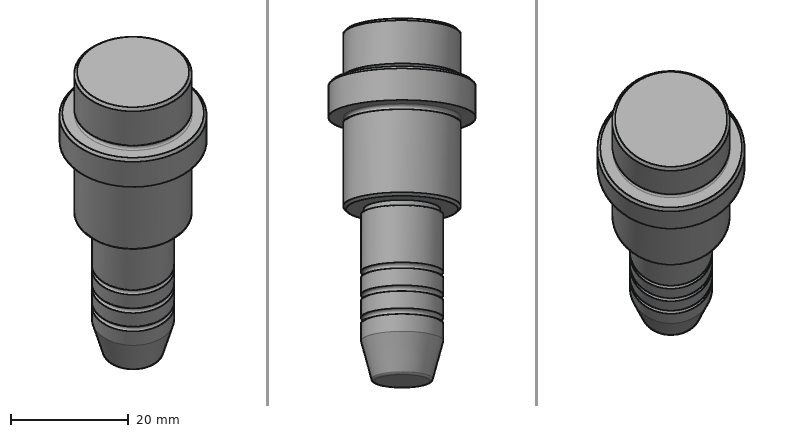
import cadquery as cq
import math

HEAD_DIAMETER = 20.0
FLANGE_DIAMETER = 25.0
SHANK_DIAMETER = 14.0

TIP_LENGTH = 7.0
SHANK_LENGTH = 22.0
NECK_LENGTH = 1.0
BODY_LENGTH = 16.0
FLANGE_LENGTH = 6.0
HEAD_LENGTH = 9.0

TIP_HALF_ANGLE = 15.0
EDGE_CHAMFER = 0.5
TIP_FILLET = 0.5
NECK_DEPTH = 0.5

GROOVE_RADIUS = 0.5
GROOVE_WIDTH = 2 * GROOVE_RADIUS
SHANK_GROOVE_COUNT = 3
SHANK_GROOVE_PITCH = 4.0
FIRST_SHANK_GROOVE_OFFSET = 3.0

tip_top = TIP_LENGTH
shank_top = tip_top + SHANK_LENGTH
neck_top = shank_top + NECK_LENGTH
body_top = neck_top + BODY_LENGTH
flange_top = body_top + FLANGE_LENGTH


def cylinder(diameter, bottom, length):
    """Cylinder on the Z axis standing on the level `bottom`."""
    return cq.Workplane("XY").workplane(offset=bottom).circle(diameter / 2).extrude(length)


def make_tip():
    """Tapered tip with a rounded lower edge."""
    shank_radius = SHANK_DIAMETER / 2
    end_radius = shank_radius - TIP_LENGTH * math.tan(math.radians(TIP_HALF_ANGLE))
    tip = (
        cq.Workplane("XZ")
        .polyline([(0, 0), (end_radius, 0), (shank_radius, tip_top), (0, tip_top)])
        .close()
        .revolve(360, (0, 0, 0), (0, 1, 0))
    )
    return tip.faces("<Z").edges().fillet(TIP_FILLET)


def round_groove(diameter, bottom):
    """Ring to cut away: a semicircular groove in a cylinder, its lower edge at the level `bottom`."""
    radius = diameter / 2
    floor = (radius - GROOVE_RADIUS, bottom + GROOVE_RADIUS)
    top = (radius, bottom + GROOVE_WIDTH)
    return (
        cq.Workplane("XZ")
        .moveTo(radius, bottom)
        .threePointArc(floor, top)
        .close()
        .revolve(360, (0, 0, 0), (0, 1, 0))
    )


def make_shank():
    """Plain shank with evenly spaced round grooves near the tip."""
    shank = cylinder(SHANK_DIAMETER, tip_top, SHANK_LENGTH)
    for index in range(SHANK_GROOVE_COUNT):
        groove_bottom = tip_top + FIRST_SHANK_GROOVE_OFFSET + index * SHANK_GROOVE_PITCH
        shank = shank.cut(round_groove(SHANK_DIAMETER, groove_bottom))
    return shank


def make_neck():
    """Short undercut between the shank and the body."""
    return cylinder(SHANK_DIAMETER - 2 * NECK_DEPTH, shank_top, NECK_LENGTH)


def make_body():
    """Body below the flange, chamfered at the bottom and grooved under the flange."""
    body = cylinder(HEAD_DIAMETER, neck_top, BODY_LENGTH).faces("<Z").chamfer(EDGE_CHAMFER)
    return body.cut(round_groove(HEAD_DIAMETER, body_top - GROOVE_WIDTH))


def make_flange():
    """Flange with a chamfered upper edge."""
    return cylinder(FLANGE_DIAMETER, body_top, FLANGE_LENGTH).faces(">Z").chamfer(EDGE_CHAMFER)


def make_head():
    """Head above the flange, chamfered at the top and grooved at its root."""
    head = cylinder(HEAD_DIAMETER, flange_top, HEAD_LENGTH).faces(">Z").chamfer(EDGE_CHAMFER)
    return head.cut(round_groove(HEAD_DIAMETER, flange_top))


result = (
    make_tip()
    .union(make_shank())
    .union(make_neck())
    .union(make_body())
    .union(make_flange())
    .union(make_head())
)